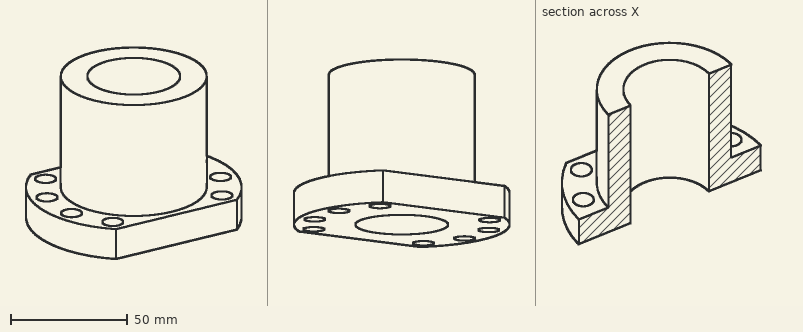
import cadquery as cq

flange_diameter = 93
flange_width = 70.0
flange_thickness = 14.0

body_diameter = 63.0
bore_diameter = 40
total_height = 66

bolt_circle_diameter = 78.0
bolt_hole_diameter = 9.0
holes_per_group = 4
hole_spacing_angle = 30
group_center_angles = (90, 270)


def make_flange():
    disc = cq.Workplane("XY").circle(flange_diameter / 2).extrude(flange_thickness)
    flat_limits = cq.Workplane("XY").rect(flange_width, flange_diameter).extrude(flange_thickness)
    return disc.intersect(flat_limits)


def make_body():
    return cq.Workplane("XY").circle(body_diameter / 2).extrude(total_height)


def make_bore():
    return cq.Workplane("XY").circle(bore_diameter / 2).extrude(total_height)


def make_bolt_holes(center_angle):
    group_span = (holes_per_group - 1) * hole_spacing_angle
    return (
        cq.Workplane("XY")
        .polarArray(
            bolt_circle_diameter / 2,
            center_angle - group_span / 2,
            group_span,
            holes_per_group,
        )
        .circle(bolt_hole_diameter / 2)
        .extrude(flange_thickness)
    )


result = make_flange().union(make_body()).cut(make_bore())
for group_angle in group_center_angles:
    result = result.cut(make_bolt_holes(group_angle))